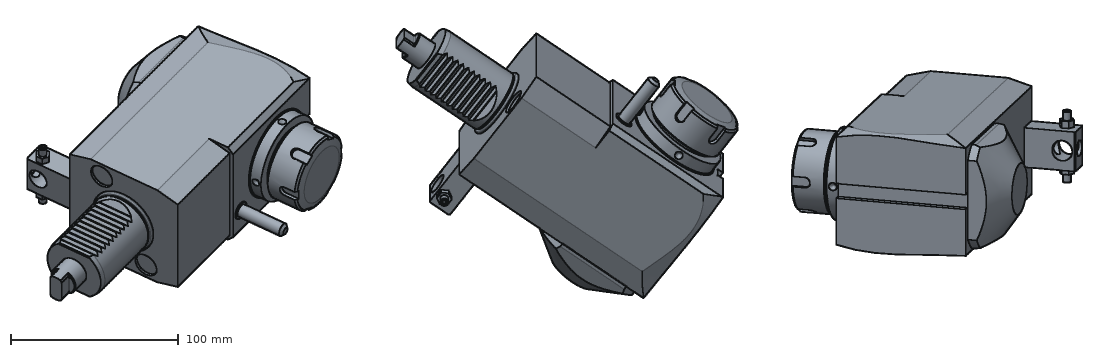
import cadquery as cq
import math

SLOPE = math.tan(math.radians(15))
HEX_SIDES = 6
HEX_CORNER_RATIO = 1 / math.cos(math.pi / HEX_SIDES)

HOUSING_LENGTH = 136.0
HOUSING_HEIGHT = 75.0
HALF_HEIGHT = HOUSING_HEIGHT / 2
HALF_WIDTH = 39.0
BEVEL_WIDTH = 15.0
SHOULDER_Z = HALF_HEIGHT - BEVEL_WIDTH * SLOPE
PAD_X = 41.5
PAD_START_Y = 54.7
PAD_CHAMFER = 3.7
CREST_X = 13.7
CREST_Z = 36.6
CREST_BLEND_X = -24.3
CREST_BLEND_Z = 34.3
KEYWAY_WIDTH = 9.2
KEYWAY_DEPTH = 4.0
RECESS_RADIUS = 7.7
RECESS_DEPTH = 1.7
RECESS_X = 16.0
RECESS_Z = 27.7

SPINDLE_Y = 100.0
CAP_RADIUS = 40.0
CAP_TIP_RADIUS = 15.5
CAP_RIM = 5.6
CAP_LENGTH = 22.7
CAP_BACK_FLAT = 31.5
CAP_TOP_FLAT = 32.2
CAP_FLAT_LENGTH = 2.5

NUT_END_X = 74.5
SEAT_RADIUS = 29.0
SEAT_LENGTH = 0.6
FLANGE_RADIUS = 28.0
FLANGE_LENGTH = 8.3
NECK_RADIUS = 21.6
NECK_LENGTH = 10.6
NUT_RADIUS = 25.0
NUT_MOUTH_RADIUS = 18.5
NUT_BEVEL_RADIUS = 23.7
NUT_BEVEL = 1.2
NUT_HEEL_CHAMFER = 0.6
NUT_SLOT_COUNT = 6
NUT_SLOT_WIDTH = 6.5
NUT_SLOT_LENGTH = 13.0
NUT_SLOT_DEPTH = 2.5
DIMPLE_COUNT = 4
DIMPLE_RADIUS = 2.5
DIMPLE_DEPTH = 2.5
DIMPLE_X = 4.5

PIN_Y = 62.6
PIN_Z = -17.7
PIN_RADIUS = 4.2
PIN_END_X = 74.0
PIN_CHAMFER = 1.9
PIN_COLLAR_RADIUS = 5.6
PIN_COLLAR_LENGTH = 0.6

BLOCK_END_X = -71.1
BLOCK_HALF_HEIGHT = 12.3
BLOCK_FRONT_Y = 1.2
BLOCK_BACK_Y = 16.2
BLOCK_CHAMFER = 0.6
BORE_X = -62.8
BORE_RADIUS = 6.2
INLET_Y = 8.0
INLET_RADIUS = 4.8
INLET_END_X = -53.0
FEED_RADIUS = 1.2
SCREW_Y = 6.2
SCREW_RADIUS = 2.5
SCREW_TOP_Z = 22.3
SCREW_CHAMFER = 0.5
LOCKNUT_FLATS = 7.7
LOCKNUT_TOP_Z = 16.6
SOCKET_FLATS = 2.5
SOCKET_DEPTH = 1.7

COLLAR_RADIUS = 21.5
COLLAR_LENGTH = 1.9
COLLAR_FILLET = 0.8
NECKING_RADIUS = 19.3
NECKING_END = 3.0
SHANK_RADIUS = 20.0
SHANK_LENGTH = 52.6
SHANK_BEVEL_LENGTH = 3.1
SHANK_BEVEL_DEPTH = 0.6
RACK_TIP_Z = 16.2
RACK_ROOT_Z = 14.5
RACK_START = 9.2
RACK_FIRST_ROOT = 11.5
RACK_LAST_ROOT = 47.5
RACK_ROOT_COUNT = 10
RACK_GROOVE_HALF_WIDTH = 1.9
DRIVE_RADIUS = 9.0
DRIVE_LENGTH = 64.5
DRIVE_CHAMFER = 0.6
TANG_HALF_WIDTH = 4.2
TANG_END = 72.0
TANG_CHAMFER_WIDTH = 1.0
TANG_CHAMFER_Z = 6.7
TANG_FILLET = 0.6


def cylinder_x(radius, x_start, x_end, y, z=0):
    return cq.Workplane("YZ", origin=(x_start, y, z)).circle(radius).extrude(x_end - x_start)


def cylinder_y(radius, y_start, y_end, x=0, z=0):
    return cq.Workplane("XZ", origin=(x, y_start, z)).circle(radius).extrude(y_start - y_end)


def both_sides(solid):
    """The solid together with its mirror image below Z = 0."""
    return solid.union(solid.mirror("XY"))


def front_section():
    """Housing section beside the mounting face, beveled at all four corners."""
    bevel_x = HALF_WIDTH - BEVEL_WIDTH
    quadrant = [(bevel_x, HALF_HEIGHT), (HALF_WIDTH, SHOULDER_Z)]
    right = quadrant + [(x, -z) for x, z in reversed(quadrant)]
    return right + [(-x, z) for x, z in reversed(right)]


def back_section():
    """Housing section at the spindle, beveled on the cap side and chamfered on the nut side."""
    right = [(PAD_X - PAD_CHAMFER, HALF_HEIGHT), (PAD_X, HALF_HEIGHT - PAD_CHAMFER)]
    left = [(-HALF_WIDTH, SHOULDER_Z), (BEVEL_WIDTH - HALF_WIDTH, HALF_HEIGHT)]
    top = left + right
    return top + [(x, -z) for x, z in reversed(top)]


def make_crest_cut():
    """Everything above the crowned rear edge, sloping up at 15 degrees toward the front."""
    clearance = HALF_HEIGHT
    crown = [(CREST_BLEND_X, CREST_BLEND_Z), (CREST_X, CREST_Z), (PAD_X, SHOULDER_Z)]
    profile = (
        cq.Workplane("XZ", origin=(0, HOUSING_LENGTH, 0))
        .moveTo(-HALF_WIDTH, SHOULDER_Z)
        .spline(crown, includeCurrent=True)
        .lineTo(PAD_X, HALF_HEIGHT + clearance)
        .lineTo(-HALF_WIDTH, HALF_HEIGHT + clearance)
        .close()
    )
    direction = cq.Vector(0, -clearance, clearance * SLOPE)
    return cq.Workplane(cq.Solid.extrudeLinear(profile.val(), [], direction))


def make_housing():
    """Two-section housing with a rear keyway and two shallow recesses in the mounting face."""
    front = cq.Workplane("XZ").polyline(front_section()).close().extrude(-PAD_START_Y)
    back = (
        cq.Workplane("XZ", origin=(0, PAD_START_Y, 0))
        .polyline(back_section())
        .close()
        .extrude(PAD_START_Y - HOUSING_LENGTH)
    )
    housing = front.union(back).cut(both_sides(make_crest_cut()))
    keyway = cq.Workplane("XY").box(4 * PAD_X, 2 * KEYWAY_DEPTH, KEYWAY_WIDTH)
    housing = housing.cut(keyway.translate((0, HOUSING_LENGTH, 0)))
    for side in (-1, 1):
        housing = housing.cut(
            cylinder_y(RECESS_RADIUS, 0, RECESS_DEPTH, side * RECESS_X, -side * RECESS_Z)
        )
    return housing


def make_cap():
    """Conical rear cap, cut flat at the back, with sloping flats above and below."""
    outline = [
        (0, 0), (0, CAP_RADIUS), (-CAP_RIM, CAP_RADIUS), (-CAP_LENGTH, CAP_TIP_RADIUS), (-CAP_LENGTH, 0),
    ]
    cone = cq.Workplane("XY").polyline(outline).close().revolve(360, (0, 0), (1, 0))
    tip_flat = CAP_TOP_FLAT - (CAP_LENGTH - CAP_FLAT_LENGTH) * SLOPE
    upper = [(0, CAP_TOP_FLAT), (-CAP_FLAT_LENGTH, CAP_TOP_FLAT), (-CAP_LENGTH, tip_flat)]
    envelope = upper + [(x, -z) for x, z in reversed(upper)]
    trim = (
        cq.Workplane("XZ", origin=(0, CAP_BACK_FLAT, 0))
        .polyline(envelope)
        .close()
        .extrude(CAP_BACK_FLAT + CAP_RADIUS)
    )
    return cone.intersect(trim).translate((-HALF_WIDTH, SPINDLE_Y, 0))


def make_collet_nut():
    """Bearing flange, neck and slotted clamping nut, turned about the spindle axis."""
    length = NUT_END_X - PAD_X
    outline = [
        (0, 0),
        (0, SEAT_RADIUS), (SEAT_LENGTH, SEAT_RADIUS),
        (SEAT_LENGTH, FLANGE_RADIUS), (FLANGE_LENGTH, FLANGE_RADIUS),
        (FLANGE_LENGTH, NECK_RADIUS), (NECK_LENGTH, NECK_RADIUS),
        (NECK_LENGTH, NUT_RADIUS - NUT_HEEL_CHAMFER), (NECK_LENGTH + NUT_HEEL_CHAMFER, NUT_RADIUS),
        (length - 2 * NUT_BEVEL, NUT_RADIUS), (length - NUT_BEVEL, NUT_BEVEL_RADIUS),
        (length, NUT_MOUTH_RADIUS), (length, 0),
    ]
    nut = cq.Workplane("XY").polyline(outline).close().revolve(360, (0, 0), (1, 0))

    slot_floor = NUT_RADIUS - NUT_SLOT_DEPTH
    slot = (
        cq.Workplane("XY", origin=(length, 0, slot_floor))
        .slot2D(2 * NUT_SLOT_LENGTH, NUT_SLOT_WIDTH)
        .extrude(2 * NUT_SLOT_DEPTH)
    )
    for i in range(NUT_SLOT_COUNT):
        nut = nut.cut(slot.rotate((0, 0, 0), (1, 0, 0), 90 + i * 360 / NUT_SLOT_COUNT))

    dimple = cq.Workplane(
        cq.Solid.makeCone(
            0, DIMPLE_RADIUS, DIMPLE_DEPTH, cq.Vector(DIMPLE_X, 0, FLANGE_RADIUS - DIMPLE_DEPTH)
        )
    )
    for i in range(DIMPLE_COUNT):
        nut = nut.cut(dimple.rotate((0, 0, 0), (1, 0, 0), i * 360 / DIMPLE_COUNT))
    return nut.translate((PAD_X, SPINDLE_Y, 0))


def make_coolant_pin():
    """Chamfered pin with a thin collar where it meets the housing."""
    pin = cylinder_x(PIN_RADIUS, PAD_X, PIN_END_X, PIN_Y, PIN_Z).faces(">X").chamfer(PIN_CHAMFER)
    collar = cylinder_x(PIN_COLLAR_RADIUS, PAD_X, PAD_X + PIN_COLLAR_LENGTH, PIN_Y, PIN_Z)
    return pin.union(collar)


def make_jam_screw():
    """Set screw with its lock nut, standing on top of the coolant block."""
    base = cq.Workplane("XY", origin=(BORE_X, SCREW_Y, BLOCK_HALF_HEIGHT))
    lock_nut = base.polygon(HEX_SIDES, LOCKNUT_FLATS * HEX_CORNER_RATIO)
    lock_nut = lock_nut.extrude(LOCKNUT_TOP_Z - BLOCK_HALF_HEIGHT)
    screw = base.circle(SCREW_RADIUS).extrude(SCREW_TOP_Z - BLOCK_HALF_HEIGHT)
    screw = screw.faces(">Z").chamfer(SCREW_CHAMFER)
    socket = (
        cq.Workplane("XY", origin=(BORE_X, SCREW_Y, SCREW_TOP_Z))
        .polygon(HEX_SIDES, SOCKET_FLATS * HEX_CORNER_RATIO)
        .extrude(-SOCKET_DEPTH)
    )
    return lock_nut.union(screw).cut(socket)


def make_coolant_block():
    """Square block with a bore along Y, an inlet from its end and two jam screws."""
    block = (
        cq.Workplane("XY", origin=(0, 0, -BLOCK_HALF_HEIGHT))
        .moveTo(BLOCK_END_X, BLOCK_FRONT_Y)
        .lineTo(-HALF_WIDTH, BLOCK_FRONT_Y)
        .lineTo(-HALF_WIDTH, BLOCK_BACK_Y)
        .lineTo(BLOCK_END_X, BLOCK_BACK_Y)
        .close()
        .extrude(2 * BLOCK_HALF_HEIGHT)
        .edges("|Z and <X")
        .chamfer(BLOCK_CHAMFER)
    )
    block = block.cut(cylinder_y(BORE_RADIUS, BLOCK_FRONT_Y, BLOCK_BACK_Y, BORE_X))
    block = block.cut(cylinder_x(INLET_RADIUS, BLOCK_END_X, INLET_END_X, INLET_Y))
    block = block.cut(cylinder_x(FEED_RADIUS, INLET_END_X, -HALF_WIDTH, INLET_Y))
    return block.union(both_sides(make_jam_screw()))


def make_rack_cut():
    """Material removed above the toothed flat, which is chamfered at the end of the shank."""
    pitch = (RACK_LAST_ROOT - RACK_FIRST_ROOT) / (RACK_ROOT_COUNT - 1)
    run_out = SHANK_RADIUS - RACK_TIP_Z
    points = [(-RACK_START + run_out, SHANK_RADIUS), (-RACK_START, RACK_TIP_Z)]
    for i in range(RACK_ROOT_COUNT):
        root = RACK_FIRST_ROOT + i * pitch
        points += [
            (-root + RACK_GROOVE_HALF_WIDTH, RACK_TIP_Z),
            (-root, RACK_ROOT_Z),
            (-root - RACK_GROOVE_HALF_WIDTH, RACK_TIP_Z),
        ]
    points += [
        (SHANK_BEVEL_DEPTH - SHANK_LENGTH, RACK_TIP_Z),
        (-SHANK_LENGTH, RACK_TIP_Z - SHANK_BEVEL_DEPTH),
        (-SHANK_LENGTH, SHANK_RADIUS),
    ]
    return cq.Workplane("YZ").polyline(points).close().extrude(SHANK_RADIUS, both=True)


def make_shank():
    """Cylindrical shank with a rounded collar, a relief groove and toothed flats above and below."""
    outline = [
        (0, 0),
        (COLLAR_RADIUS, 0), (COLLAR_RADIUS, -COLLAR_LENGTH),
        (NECKING_RADIUS, -COLLAR_LENGTH), (NECKING_RADIUS, -NECKING_END),
        (SHANK_RADIUS, -NECKING_END), (SHANK_RADIUS, SHANK_BEVEL_LENGTH - SHANK_LENGTH),
        (SHANK_RADIUS - SHANK_BEVEL_DEPTH, -SHANK_LENGTH), (0, -SHANK_LENGTH),
    ]
    shank = cq.Workplane("XY").polyline(outline).close().revolve(360, (0, 0), (0, 1))
    largest_circles = cq.selectors.RadiusNthSelector(-1)
    shank = shank.edges("%CIRCLE").edges(largest_circles).edges("<Y").fillet(COLLAR_FILLET)
    return shank.cut(both_sides(make_rack_cut()))


def make_drive_tang():
    """Round drive stub ending in a flat blade with chamfered corners and filleted roots."""
    drive = cylinder_y(DRIVE_RADIUS, -SHANK_LENGTH, -DRIVE_LENGTH).faces("<Y").chamfer(DRIVE_CHAMFER)
    corner = [(TANG_HALF_WIDTH, TANG_CHAMFER_Z), (TANG_HALF_WIDTH - TANG_CHAMFER_WIDTH, DRIVE_RADIUS)]
    right = [(x, -z) for x, z in reversed(corner)] + corner
    section = right + [(-x, z) for x, z in reversed(right)]
    blade = cq.Workplane("XZ").polyline(section).close().extrude(TANG_END)
    tang = cylinder_y(DRIVE_RADIUS, -SHANK_LENGTH, -TANG_END).intersect(blade)
    root_edges = cq.selectors.BoxSelector(
        (-DRIVE_RADIUS, -DRIVE_LENGTH - TANG_FILLET, -DRIVE_RADIUS),
        (DRIVE_RADIUS, -DRIVE_LENGTH + TANG_FILLET, DRIVE_RADIUS),
    )
    return drive.union(tang).edges("|Z").edges(root_edges).fillet(TANG_FILLET)


result = (
    make_housing()
    .union(make_cap())
    .union(make_collet_nut())
    .union(make_coolant_pin())
    .union(make_coolant_block())
    .union(make_shank())
    .union(make_drive_tang())
)